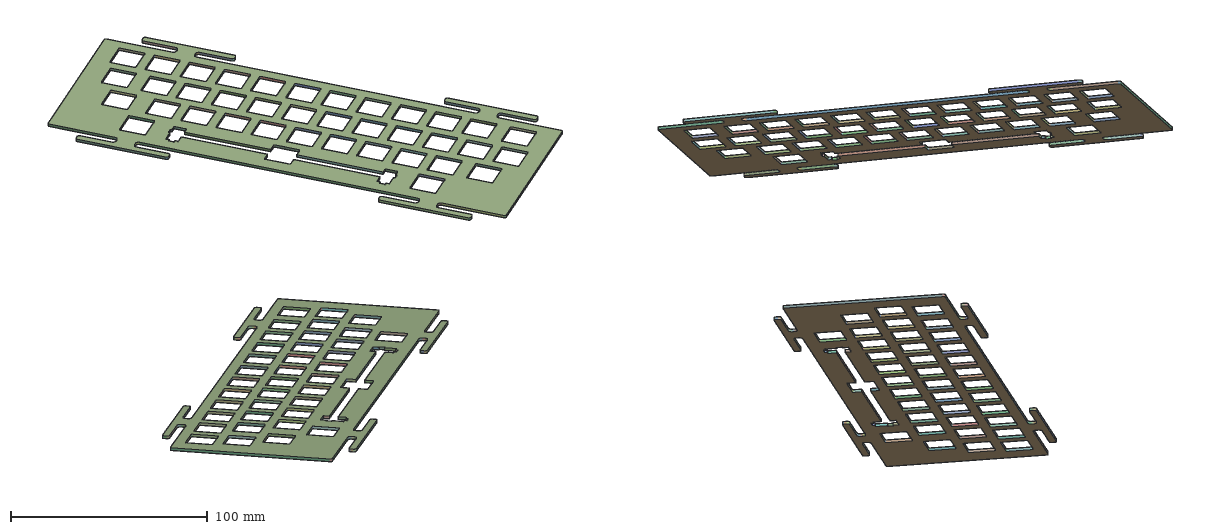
import cadquery as cq

plate_length = 248.0
plate_width = 84.3
overall_width = 101.0
thickness = 1.5
plate_corner_radius = 1.0

tab_spacing = 163.7
tab_shift_x = 1.0
tab_centers_x = (tab_shift_x - tab_spacing / 2, tab_shift_x + tab_spacing / 2)
tab_bar_length = 50.0
tab_bar_width = 3.7
tab_neck_width = 10.0
tab_reach = (overall_width - plate_width) / 2
tab_gap = tab_reach - tab_bar_width
tab_bar_radius = 1.2
tab_root_radius = 1.7

stabilizer_spacing = 114.3
key_pitch = stabilizer_spacing / 6
layout_length = 12.25
row_count = 4
layout_shift_x = 0.07
layout_shift_y = 0.8
space_bar_key = 6.0
key_rows = (
    [0.5 + i for i in range(11)] + [11.625],
    [0.625] + [1.75 + i for i in range(11)],
    [1.0] + [2.25 + i for i in range(9)] + [11.375],
    [1.875, space_bar_key, 10.125],
)

switch_gap = 5.0
switch_size = key_pitch - switch_gap
switch_corner_radius = 0.5

housing_width = 6.7
housing_top = 5.5
housing_bottom = -6.7
foot_width = 3.0
foot_bottom = -8.0
wire_half_width = 2.3
side_notch_reach = 4.2
side_notch_bottom = -0.5


def key_x(key_units):
    """X of a key whose centre lies key_units from the left end of the layout."""
    return (key_units - layout_length / 2) * key_pitch + layout_shift_x


def row_y(row):
    """Y of a key row, counted from the back."""
    return ((row_count - 1) / 2 - row) * key_pitch + layout_shift_y


def block(x_min, x_max, y_min, y_max):
    """Full-thickness block between the given limits."""
    return (
        cq.Workplane("XY")
        .box(x_max - x_min, y_max - y_min, thickness, centered=False)
        .translate((x_min, y_min, 0))
    )


def make_tab(center_x, side):
    """T-shaped tab on the back (side = 1) or front (side = -1) edge."""
    bar_y = side * (overall_width - tab_bar_width) / 2
    bar = (
        cq.Workplane("XY")
        .center(center_x, bar_y)
        .rect(tab_bar_length, tab_bar_width)
        .extrude(thickness)
        .edges("|Z")
        .fillet(tab_bar_radius)
    )
    neck_y = side * (plate_width + tab_gap) / 2
    flare_width = tab_neck_width + 2 * tab_root_radius
    neck = cq.Workplane("XY").center(center_x, neck_y).rect(flare_width, tab_gap).extrude(thickness)
    for direction in (-1, 1):
        slot_x = center_x + direction * (tab_neck_width + tab_bar_length) / 2
        slot = (
            cq.Workplane("XY")
            .center(slot_x, neck_y)
            .rect(tab_bar_length, tab_gap)
            .extrude(thickness)
            .edges("|Z")
            .fillet(tab_root_radius)
        )
        neck = neck.cut(slot)
    return bar.union(neck)


def make_switch_openings():
    """Square openings for every key."""
    centers = [(key_x(key), row_y(row)) for row, keys in enumerate(key_rows) for key in keys]
    return (
        cq.Workplane("XY")
        .pushPoints(centers)
        .rect(switch_size, switch_size)
        .extrude(thickness)
        .edges("|Z")
        .fillet(switch_corner_radius)
    )


def make_stabilizer_opening():
    """Two stabilizer housings joined by the wire channel through the space bar switch."""
    center_x = key_x(space_bar_key)
    center_y = row_y(row_count - 1)
    half_spacing = stabilizer_spacing / 2
    half_housing = housing_width / 2
    opening = block(-half_spacing, half_spacing, -wire_half_width, wire_half_width)
    for side in (-1, 1):
        housing_x = side * half_spacing
        notch_x = sorted((housing_x, housing_x + side * side_notch_reach))
        opening = (
            opening
            .union(block(housing_x - half_housing, housing_x + half_housing, housing_bottom, housing_top))
            .union(block(housing_x - foot_width / 2, housing_x + foot_width / 2, foot_bottom, 0))
            .union(block(*notch_x, side_notch_bottom, wire_half_width))
        )
    return opening.translate((center_x, center_y, 0))


plate = (
    cq.Workplane("XY")
    .rect(plate_length, plate_width)
    .extrude(thickness)
    .edges("|Z")
    .fillet(plate_corner_radius)
)
for tab_x in tab_centers_x:
    for edge_side in (-1, 1):
        plate = plate.union(make_tab(tab_x, edge_side))

result = plate.cut(make_switch_openings()).cut(make_stabilizer_opening())